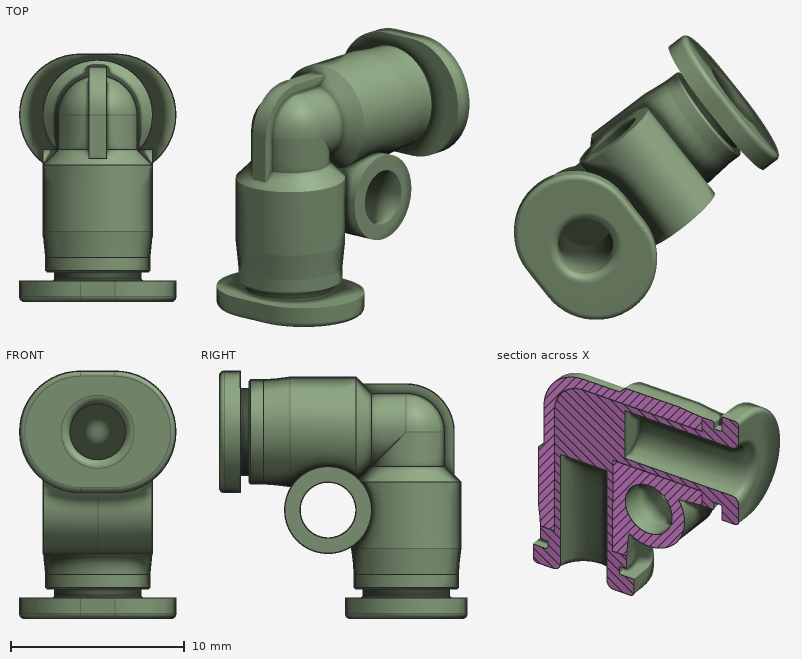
import cadquery as cq


tube_radius = 2.26
arm_radius = 3.15
shoulder_at = 2.0
arm_at = shoulder_at + (arm_radius - tube_radius)
taper_at = 6.7
housing_end_at = 8.2

rib_width = 1.0
rib_height = 0.5
rib_end_at = 2.52

boss_offset = 4.5
boss_radius = 2.5
boss_hole_radius = 1.6
boss_length = 2 * arm_radius

guide_radius = 3.0
guide_end_at = 9.05
guide_chamfer = 0.1
neck_radius = 2.5
neck_fillet = 0.1
flange_at = 9.55
flange_end_at = 10.75
flange_length = 9.0
flange_width = 7.0
flange_fillet = 0.3
core_radius = 2.0
bore_radius = 1.6
bore_mouth_fillet = 0.5
bore_bottom_at = arm_at


def on_both_ports(shape_down):
    """Fuse a port shape built along -Z with its copy turned onto the -Y port."""
    shape_along_y = shape_down.rotate((0, 0, 0), (1, 0, 0), -90)
    return shape_down.union(shape_along_y)


def rod_down(radius, start_at, end_at):
    """Round rod along the -Z port axis."""
    return cq.Workplane("XY").workplane(offset=-end_at).circle(radius).extrude(end_at - start_at)


def round_elbow(radius, end_at):
    """Two rods along the port axes, meeting at a spherical corner."""
    return on_both_ports(rod_down(radius, 0, end_at)).union(cq.Workplane("XY").sphere(radius))


def housing_arm():
    """Arm of one port: shoulder cone, cylinder and slight taper to the mouth."""
    return (
        cq.Workplane("XZ")
        .moveTo(0, -shoulder_at)
        .lineTo(tube_radius, -shoulder_at)
        .lineTo(arm_radius, -arm_at)
        .lineTo(arm_radius, -taper_at)
        .lineTo(guide_radius, -housing_end_at)
        .lineTo(0, -housing_end_at)
        .close()
        .revolve(360, (0, 0, 0), (0, 1, 0))
    )


def rib():
    """Flat rib around the outside of the corner, running into both shoulders."""
    outer = tube_radius + rib_height
    diagonal = outer * 0.5**0.5
    return (
        cq.Workplane("YZ")
        .moveTo(0, 0)
        .lineTo(0, -rib_end_at)
        .lineTo(outer, -rib_end_at)
        .lineTo(outer, 0)
        .threePointArc((diagonal, diagonal), (0, outer))
        .lineTo(-rib_end_at, outer)
        .lineTo(-rib_end_at, 0)
        .close()
        .extrude(rib_width / 2, both=True)
    )


def boss_rod(radius):
    """Rod along X in the inside corner of the elbow."""
    return (
        cq.Workplane("YZ")
        .center(-boss_offset, -boss_offset)
        .circle(radius)
        .extrude(boss_length / 2, both=True)
    )


def collar():
    """Guide ring, neck and oval flange of one port."""
    guide = rod_down(guide_radius, housing_end_at, guide_end_at).faces("<Z").chamfer(guide_chamfer)
    flange = (
        cq.Workplane("XY")
        .workplane(offset=-flange_end_at)
        .slot2D(flange_length, flange_width)
        .extrude(flange_end_at - flange_at)
        .faces("<Z")
        .edges()
        .fillet(flange_fillet)
    )
    neck_foot = (
        cq.Workplane("XZ")
        .moveTo(0, -guide_end_at)
        .lineTo(neck_radius, -guide_end_at)
        .lineTo(neck_radius, -flange_at + neck_fillet)
        .radiusArc((neck_radius + neck_fillet, -flange_at), -neck_fillet)
        .lineTo(0, -flange_at)
        .close()
        .revolve(360, (0, 0, 0), (0, 1, 0))
    )
    return guide.union(neck_foot).union(flange)


def bore():
    """Blind tube bore of one port, with a rounded mouth."""
    mouth_radius = bore_radius + bore_mouth_fillet
    return (
        cq.Workplane("XZ")
        .moveTo(0, -bore_bottom_at)
        .lineTo(bore_radius, -bore_bottom_at)
        .lineTo(bore_radius, -flange_end_at + bore_mouth_fillet)
        .radiusArc((mouth_radius, -flange_end_at), -bore_mouth_fillet)
        .lineTo(0, -flange_end_at)
        .close()
        .revolve(360, (0, 0, 0), (0, 1, 0))
    )


core = round_elbow(core_radius, housing_end_at)

housing = (
    round_elbow(tube_radius, arm_at)
    .union(on_both_ports(housing_arm()))
    .union(rib())
    .union(boss_rod(boss_radius))
    .cut(boss_rod(boss_hole_radius))
    .cut(core)
)

insert = core.union(on_both_ports(collar())).cut(on_both_ports(bore()))

result = cq.Compound.makeCompound([housing.solids().val(), insert.solids().val()])